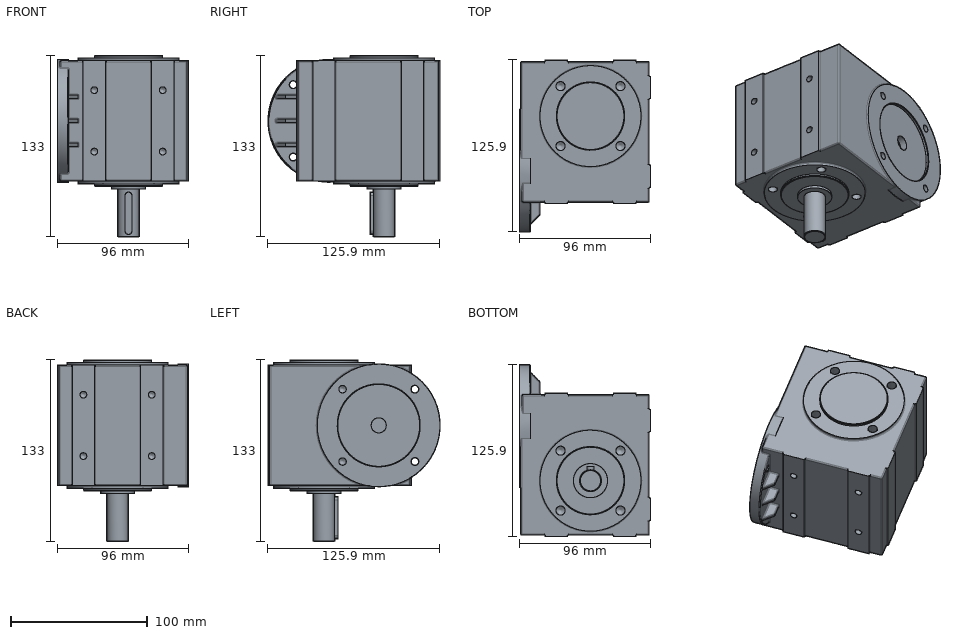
import cadquery as cq
import math


body_left = -50.0
raised_left = -51.1
body_right = 43.0
body_front = -63.0
body_back = 39.9
half_height = 44.0
edge_radius = 0.9

pad_rise = 1.0
pad_flare = 0.7
pad_width = 16.2
pad_x = 25.0
side_pads_y = (20.9, -44.0)
pad_hole_diameter = 4.9
pad_hole_z = 22.5
pad_hole_depth = 10.0

cover_diameter = 74.0
cover_thickness = 2.1
cover_foot = 0.5
cap_diameter = 50.0
cap_height = 1.9
cap_chamfer = 0.5
cover_hole_diameter = 6.6
cover_hole_circle = 62.0
cover_hole_depth = 12.0

collar_diameter = 25.0
collar_height = 2.0
shaft_diameter = 16.0
shaft_chamfer = 0.5
shaft_end = -85.0
key_width = 5.0
key_top = -52.1
key_bottom = -83.1
key_rise = 2.3

flange_y = -40.0
flange_radius = 45.0
flange_face = -52.0
flange_thickness = 8.0
flange_blend = 0.8
recess_diameter = 60.0
recess_depth = 2.0
recess_chamfer = 0.4
bore_diameter = 11.0
bore_depth = 5.3
flange_hole_diameter = 5.5
flange_hole_offset = 26.5
flange_hole_depth = 13.3

rib_z = (-17.5, 0, 17.5)
rib_width = 2.7
rib_right = -36.8
rib_corner_y = -72.2
rib_foot_y = -79.4
rib_round = 0.7
rib_blend = 0.7

drill_tip_angle = 118
flange_back = flange_face + flange_thickness
overlap = 2.7
tolerance = 0.01


def cylinder_z(diameter, start, end):
    return cq.Workplane("XY", origin=(0, 0, start)).circle(diameter / 2).extrude(end - start)


def drill(point, direction, diameter, depth):
    """Blind hole with a conical bottom, as a solid to cut."""
    radius = diameter / 2
    tip = radius / math.tan(math.radians(drill_tip_angle / 2))
    start = cq.Vector(*point)
    along = cq.Vector(*direction)
    shank = cq.Solid.makeCylinder(radius, depth, start, along)
    cone = cq.Solid.makeCone(radius, 0, tip, start + along * depth, along)
    return cq.Workplane(shank).union(cq.Workplane(cone))


def make_pad(x, y, angle):
    """Pad with flared sides; (x, y) is its middle on the housing face, angle its facing direction."""
    half = pad_width / 2
    bulge = pad_flare * (1 - math.sqrt(0.5))
    return (
        cq.Workplane("XY", origin=(0, 0, -half_height))
        .moveTo(-overlap, -half - pad_flare)
        .lineTo(0, -half - pad_flare)
        .threePointArc((bulge, -half - bulge), (pad_flare, -half))
        .lineTo(pad_rise, -half)
        .lineTo(pad_rise, half)
        .lineTo(pad_flare, half)
        .threePointArc((bulge, half + bulge), (0, half + pad_flare))
        .lineTo(-overlap, half + pad_flare)
        .close()
        .extrude(2 * half_height)
        .rotate((0, 0, 0), (0, 0, 1), angle)
        .translate((x, y, 0))
    )


def make_block(left, right, front):
    """Full-height block reaching from its front to the back face of the housing."""
    block = cq.Workplane("XY", origin=(left, front, 0))
    return block.box(right - left, body_back - front, 2 * half_height, centered=(False, False, True))


def make_housing():
    main = make_block(body_left, body_right, body_front).edges().fillet(edge_radius)
    raised = make_block(raised_left, body_left + overlap, flange_y)
    outer_edges = raised.edges("<X or (|X and >Y) or (|Z and <X)").edges("not <Y")
    return main.union(outer_edges.fillet(edge_radius))


def near(a, b):
    return abs(a - b) < tolerance


def on_flange_blend(edge):
    """True for the corners between flange and housing, and for the flange's overhanging back rim."""
    middle = edge.positionAt(0.5)
    box = edge.BoundingBox()
    on_rim = near(math.hypot(middle.y - flange_y, middle.z), flange_radius)
    on_back = near(middle.x, flange_back)
    behind_front = box.ymin > body_front - tolerance
    within_thickness = middle.x > flange_face + tolerance and box.xmax < flange_back + tolerance
    within_height = abs(middle.z) < half_height - tolerance
    overhanging_rim = on_back and on_rim and middle.y < body_front
    inside_corner = behind_front and within_thickness and within_height and on_back != on_rim
    return overhanging_rim or inside_corner


def make_flange():
    return (
        cq.Workplane("YZ", origin=(flange_face, flange_y, 0))
        .circle(flange_radius)
        .extrude(flange_thickness)
    )


def make_rib(z):
    """Rib behind the flange with both long outer edges rounded."""
    plate = (
        cq.Workplane("XY", origin=(0, 0, z - rib_width / 2))
        .moveTo(flange_back - overlap, body_front + overlap)
        .lineTo(rib_right, body_front + overlap)
        .lineTo(rib_right, rib_corner_y)
        .lineTo(flange_back, rib_foot_y)
        .lineTo(flange_back - overlap, rib_foot_y)
        .close()
        .extrude(rib_width)
    )
    straight_edges = plate.faces(">X").edges("#Z")
    sloped_edges = plate.faces(">(1, -1, 0)").edges("#Z")
    return straight_edges.add(sloped_edges).fillet(rib_round)


def on_rib_foot(edge):
    """True for the inside corners where a rib meets the housing front, the flange or their blend."""
    middle = edge.positionAt(0.5)
    box = edge.BoundingBox()
    beside_rib = any(abs(middle.z - z) < rib_width / 2 + tolerance for z in rib_z)
    within_rib = (
        box.xmin > flange_back - tolerance
        and box.xmax < rib_right + tolerance
        and box.ymin > rib_foot_y - tolerance
        and box.ymax < body_front + tolerance
    )
    on_front = near(middle.y, body_front)
    on_flange = near(middle.x, flange_back)
    beside_flange = box.xmax < flange_back + flange_blend + tolerance
    beside_front = box.ymin > body_front - flange_blend - tolerance
    on_blend = beside_flange and beside_front
    return beside_rib and within_rib and (on_front or on_flange or on_blend)


def make_cover(side):
    """Cover disc with a foot radius and a chamfered cap; side is +1 above, -1 below."""
    radius = cover_diameter / 2
    disc_top = half_height + cover_thickness
    cap_top = disc_top + cap_height
    cap_radius = cap_diameter / 2
    arc_inset = cover_foot * (1 - math.sqrt(0.5))
    cover = (
        cq.Workplane("XZ")
        .moveTo(0, half_height - overlap)
        .lineTo(radius + cover_foot, half_height - overlap)
        .lineTo(radius + cover_foot, half_height)
        .threePointArc((radius + arc_inset, half_height + arc_inset), (radius, half_height + cover_foot))
        .lineTo(radius, disc_top)
        .lineTo(cap_radius, disc_top)
        .lineTo(cap_radius, cap_top - cap_chamfer)
        .lineTo(cap_radius - cap_chamfer, cap_top)
        .lineTo(0, cap_top)
        .close()
        .revolve(360, (0, 0, 0), (0, 1, 0))
    )
    return cover if side > 0 else cover.mirror("XY")


def make_shaft():
    cap_bottom = -half_height - cover_thickness - cap_height
    collar = cylinder_z(collar_diameter, cap_bottom - collar_height, cap_bottom + overlap)
    shaft = cylinder_z(shaft_diameter, shaft_end, cap_bottom).faces("<Z").chamfer(shaft_chamfer)
    key = (
        cq.Workplane("XZ")
        .center(0, (key_top + key_bottom) / 2)
        .slot2D(key_top - key_bottom, key_width, 90)
        .extrude(shaft_diameter / 2 + key_rise)
    )
    return collar.union(shaft).union(key)


result = make_housing().union(make_flange())
blend_edges = [edge for edge in result.edges().vals() if on_flange_blend(edge)]
result = result.newObject(blend_edges).fillet(flange_blend)

for z in rib_z:
    result = result.union(make_rib(z))
foot_edges = [edge for edge in result.edges().vals() if on_rib_foot(edge)]
result = result.newObject(foot_edges).fillet(rib_blend)

for x in (-pad_x, pad_x):
    result = result.union(make_pad(x, body_front, -90))
    result = result.union(make_pad(x, body_back, 90))
for y in side_pads_y:
    result = result.union(make_pad(body_right, y, 0))

for side in (1, -1):
    result = result.union(make_cover(side))
result = result.union(make_shaft())

for x in (-pad_x, pad_x):
    for z in (-pad_hole_z, pad_hole_z):
        front_hole = drill((x, body_front - pad_rise, z), (0, 1, 0), pad_hole_diameter, pad_hole_depth)
        back_hole = drill((x, body_back + pad_rise, z), (0, -1, 0), pad_hole_diameter, pad_hole_depth)
        result = result.cut(front_hole).cut(back_hole)

cover_hole_offset = cover_hole_circle / 2 * math.sqrt(0.5)
cover_face = half_height + cover_thickness
for x in (-cover_hole_offset, cover_hole_offset):
    for y in (-cover_hole_offset, cover_hole_offset):
        for side in (1, -1):
            hole = drill((x, y, side * cover_face), (0, 0, -side), cover_hole_diameter, cover_hole_depth)
            result = result.cut(hole)

recess_radius = recess_diameter / 2
recess = (
    cq.Workplane("XZ", origin=(flange_face, flange_y, 0))
    .lineTo(0, recess_radius + recess_chamfer)
    .lineTo(recess_chamfer, recess_radius)
    .lineTo(recess_depth, recess_radius)
    .lineTo(recess_depth, bore_diameter / 2)
    .lineTo(recess_depth + bore_depth, bore_diameter / 2)
    .lineTo(recess_depth + bore_depth, 0)
    .close()
    .revolve(360, (0, 0, 0), (1, 0, 0))
)
result = result.cut(recess)

for y in (-flange_hole_offset, flange_hole_offset):
    for z in (-flange_hole_offset, flange_hole_offset):
        start = (flange_face, flange_y + y, z)
        result = result.cut(drill(start, (1, 0, 0), flange_hole_diameter, flange_hole_depth))